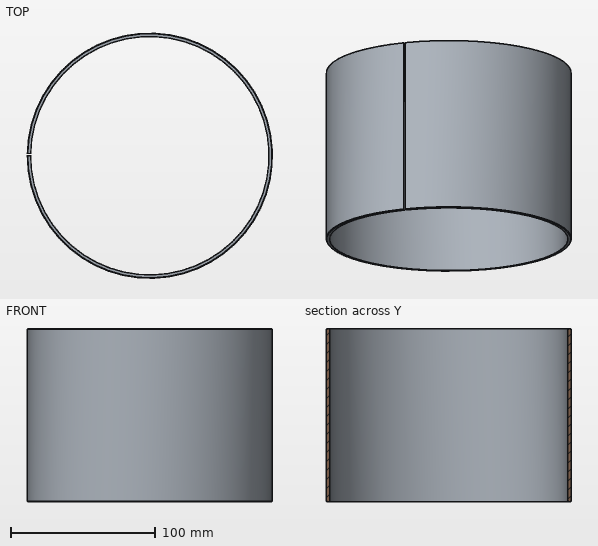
import cadquery as cq

outer_diameter = 170.0
wall_thickness = 2.5
height = 120.0
outer_chamfer = 0.5
inner_chamfer = 0.2
slit_angle = 1.0

outer_radius = outer_diameter / 2
inner_radius = outer_radius - wall_thickness


def wall_section():
    """Wall cross-section on the -X side of the XZ plane, with all four corners chamfered."""
    return (
        cq.Workplane("XZ")
        .moveTo(-inner_radius, inner_chamfer)
        .lineTo(-inner_radius, height - inner_chamfer)
        .lineTo(-inner_radius - inner_chamfer, height)
        .lineTo(-outer_radius + outer_chamfer, height)
        .lineTo(-outer_radius, height - outer_chamfer)
        .lineTo(-outer_radius, outer_chamfer)
        .lineTo(-outer_radius + outer_chamfer, 0)
        .lineTo(-inner_radius - inner_chamfer, 0)
        .close()
    )


result = wall_section().revolve(360 - slit_angle, (0, 0), (0, 1))